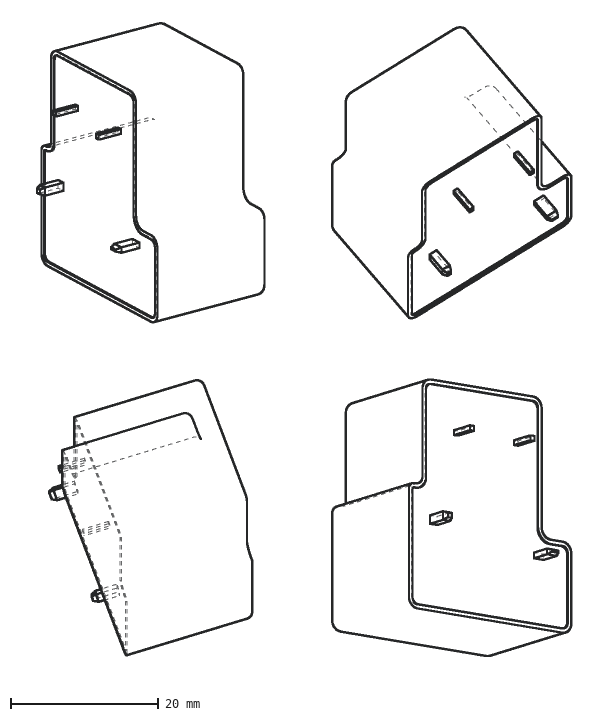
import cadquery as cq

HOUSING_WIDTH = 27.42
HOUSING_HEIGHT = 32.25
HOUSING_DEPTH = 18.25
TOWER_LEFT = 2.3
TOWER_RIGHT = 22.42
LEFT_SHOULDER_HEIGHT = 17.45
RIGHT_SHOULDER_HEIGHT = 12.7
CORNER_RADIUS = 1.52
LEFT_STEP_RADIUS = 1.0
BACK_EDGE_RADIUS = 1.0

RIM_WIDTH = 0.6
RECESS_DEPTH = 0.2

PIN_REACH = 3.52
SIGNAL_PIN_SIDE = 0.68
SIGNAL_PIN_HEIGHT = 25.42
SIGNAL_PIN_POSITIONS = (8.1, 18.23)
TIP_LENGTH = 0.7
TIP_INSET = 0.25
POWER_PINS = (
    (4.32, 12.75, 1.2, 1.2),
    (22.05, 10.15, 1.6, 0.8),
)


def front_plane(y, x=0, z=0):
    """XZ plane at the given point, with its normal toward -Y."""
    return cq.Workplane("XZ", origin=(x, y, z))


def stepped_block():
    """Housing block with its lengthwise edges and back edge rounded."""
    block = (
        front_plane(0)
        .polyline([
            (0, 0),
            (HOUSING_WIDTH, 0),
            (HOUSING_WIDTH, RIGHT_SHOULDER_HEIGHT),
            (TOWER_RIGHT, RIGHT_SHOULDER_HEIGHT),
            (TOWER_RIGHT, HOUSING_HEIGHT),
            (TOWER_LEFT, HOUSING_HEIGHT),
            (TOWER_LEFT, LEFT_SHOULDER_HEIGHT),
            (0, LEFT_SHOULDER_HEIGHT),
        ])
        .close()
        .extrude(-HOUSING_DEPTH)
    )
    margin = 0.32
    left_step = cq.selectors.BoxSelector(
        (-margin, 0, LEFT_SHOULDER_HEIGHT - margin),
        (TOWER_LEFT + margin, HOUSING_DEPTH, LEFT_SHOULDER_HEIGHT + margin),
    )
    lengthwise = cq.selectors.ParallelDirSelector(cq.Vector(0, 1, 0))
    block = block.edges(lengthwise - left_step).fillet(CORNER_RADIUS)
    block = block.edges(cq.selectors.AndSelector(lengthwise, left_step)).fillet(LEFT_STEP_RADIUS)
    return block.faces(">Y").edges().fillet(BACK_EDGE_RADIUS)


def front_recess(block):
    """Pocket that follows the front outline, one rim width inside it."""
    return (
        front_plane(0)
        .add(block.faces("<Y").wires().vals())
        .toPending()
        .offset2D(-RIM_WIDTH)
        .extrude(-RECESS_DEPTH)
    )


def straight_pin(x, z, width, height, reach):
    """Rectangular pin from the recess floor out to the given reach."""
    return front_plane(RECESS_DEPTH, x, z).rect(width, height).extrude(RECESS_DEPTH + reach)


def power_pin(x, z, width, height):
    """Rectangular pin that narrows on all four sides at its free end."""
    shank_reach = PIN_REACH - TIP_LENGTH
    tip = (
        front_plane(-shank_reach, x, z)
        .rect(width, height)
        .workplane(offset=TIP_LENGTH)
        .rect(width - 2 * TIP_INSET, height - 2 * TIP_INSET)
        .loft(ruled=True)
    )
    return straight_pin(x, z, width, height, shank_reach).union(tip)


housing = stepped_block()
result = housing.cut(front_recess(housing))
for pin_x in SIGNAL_PIN_POSITIONS:
    result = result.union(
        straight_pin(pin_x, SIGNAL_PIN_HEIGHT, SIGNAL_PIN_SIDE, SIGNAL_PIN_SIDE, PIN_REACH)
    )
for pin in POWER_PINS:
    result = result.union(power_pin(*pin))